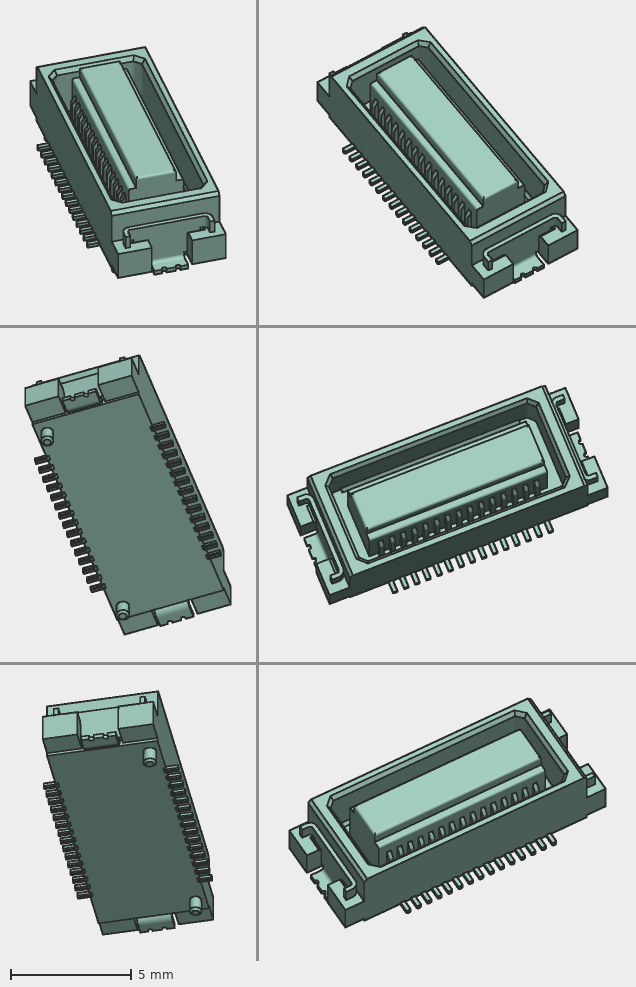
import cadquery as cq
import math


LENGTH = 12.5
BODY_LENGTH = 10.7
BODY_WIDTH = 4.7
BODY_HEIGHT = 2.9
END_CHAMFER = 0.15

EAR_BOTTOM = 0.15
EAR_TOP = 1.4
EAR_INNER_Y = 0.88
EAR_LEAD_IN = 0.12

CAVITY_LENGTH = 9.3
CAVITY_WIDTH = 3.9
CAVITY_FLOOR = 0.7
CAVITY_CORNER = 0.29
CAVITY_ROUND = 0.2
RIM_FLARE = 0.15
RIM_DEPTH = 0.2
LEDGE_SIZE = 0.15

CORE_LENGTH = 8.0
CORE_WIDTH = 2.4
TIP_WIDTH = 1.75
SHOULDER_Z = BODY_HEIGHT
TIP_Z = 3.4
CORE_ROUND = 0.1

CONTACT_COUNT = 15
PITCH = 0.5
CONTACT_WIDTH = 0.2
CONTACT_REACH_Y = 1.39
CONTACT_TOP = 2.3
CONTACT_DROP = 0.29
CONTACT_ROUND = 0.2
LEAD_TIP_Y = 2.85
LEAD_BEND_Y = BODY_WIDTH / 2
LEAD_BOTTOM = -0.11
LEAD_THICKNESS = 0.2
LEAD_BEND = 0.14
LEAD_BEVEL = 0.05

SHEET = 0.2
CLIP_TOP = 2.0
CLIP_WING_BOTTOM = 1.42
CLIP_PLATE_BOTTOM = 0.3
CLIP_PLATE_HALF_WIDTH = 1.46
CLIP_BEND = 0.12
CLIP_HALF_WIDTH = 1.94
WING_TIP_X = 5.98
TAB_TIP_X = 6.15
TAB_HALF_WIDTH = 0.74
TAB_BOTTOM = LEAD_BOTTOM
TAB_BEND = 0.15
TAB_NOTCH_RADIUS = 0.1
TAB_NOTCH_DEPTH = 0.12
TAB_NOTCH_Y = 0.3

PEG_X = 4.75
PEG_Y = -1.9
PEG_DIAMETER = 0.5
PEG_BOTTOM = -0.7
PEG_CHAMFER = 0.1
LONG_PEG_STRETCH = 0.04

HALF_BODY = BODY_LENGTH / 2
CLIP_FACE_X = HALF_BODY + SHEET


def block(x_range, y_range, z_range):
    """Box given by its lower and upper limit on each axis."""
    sizes = [high - low for low, high in (x_range, y_range, z_range)]
    corner = (x_range[0], y_range[0], z_range[0])
    return cq.Workplane("XY").box(*sizes, centered=False).translate(corner)


def both_ends(solid):
    """The solid together with its mirror image at the other X end."""
    return solid.union(solid.mirror("YZ"))


def both_sides(solid):
    """The solid together with its mirror image at the other Y side."""
    return solid.union(solid.mirror("XZ"))


def make_body():
    body = cq.Workplane("XY").box(BODY_LENGTH, BODY_WIDTH, BODY_HEIGHT, centered=(True, True, False))
    return body.faces(">Z").edges("|Y").chamfer(END_CHAMFER)


def make_ears():
    """Four corner blocks, each with a sloped lead-in beside the clip plate."""
    lead_in_length = CLIP_HALF_WIDTH - SHEET - CLIP_BEND - EAR_INNER_Y
    ear = block((HALF_BODY, LENGTH / 2), (EAR_INNER_Y, BODY_WIDTH / 2), (EAR_BOTTOM, EAR_TOP))
    lead_in = (
        cq.Workplane("XZ", origin=(0, EAR_INNER_Y, 0))
        .moveTo(HALF_BODY, EAR_TOP)
        .lineTo(CLIP_FACE_X + EAR_LEAD_IN, EAR_TOP)
        .lineTo(CLIP_FACE_X, EAR_TOP - EAR_LEAD_IN)
        .lineTo(HALF_BODY, EAR_TOP - EAR_LEAD_IN)
        .close()
        .extrude(-lead_in_length)
    )
    return both_ends(both_sides(ear.cut(lead_in)))


def cavity_outline(plane, offset=0.0):
    """Rectangle with 45 degree corners, all eight walls moved outwards by the offset."""
    x = CAVITY_LENGTH / 2 + offset
    y = CAVITY_WIDTH / 2 + offset
    cut = CAVITY_CORNER + offset * (2 - math.sqrt(2))
    points = [
        (x, y - cut),
        (x - cut, y),
        (cut - x, y),
        (-x, y - cut),
        (-x, cut - y),
        (cut - x, -y),
        (x - cut, -y),
        (x, cut - y),
    ]
    return plane.polyline(points).close()


def make_cavity():
    """Well with rounded corners below a flared rim."""
    rim_bottom = BODY_HEIGHT - RIM_DEPTH
    floor = cq.Workplane("XY", origin=(0, 0, CAVITY_FLOOR))
    well = cavity_outline(floor).extrude(rim_bottom - CAVITY_FLOOR).edges("|Z").fillet(CAVITY_ROUND)
    rim = cavity_outline(cq.Workplane("XY", origin=(0, 0, rim_bottom))).workplane(offset=RIM_DEPTH)
    rim = cavity_outline(rim, RIM_FLARE).loft(ruled=True)
    return well.union(rim)


def make_ledges():
    """Sloped strips where the long cavity walls meet the floor."""
    wall_y = CAVITY_WIDTH / 2
    ledge = (
        cq.Workplane("YZ", origin=(-CORE_LENGTH / 2, 0, 0))
        .moveTo(wall_y, CAVITY_FLOOR)
        .lineTo(wall_y - LEDGE_SIZE, CAVITY_FLOOR)
        .lineTo(wall_y, CAVITY_FLOOR + LEDGE_SIZE)
        .close()
        .extrude(CORE_LENGTH)
    )
    return both_sides(ledge)


def make_core():
    """Stepped tongue standing on the cavity floor: a wide base and a narrower tip."""
    x_range = (-CORE_LENGTH / 2, CORE_LENGTH / 2)
    base = block(x_range, (-CORE_WIDTH / 2, CORE_WIDTH / 2), (CAVITY_FLOOR, SHOULDER_Z))
    base = base.faces(">Z").edges("|X").fillet(CORE_ROUND)
    tip = block(x_range, (-TIP_WIDTH / 2, TIP_WIDTH / 2), (CAVITY_FLOOR, TIP_Z))
    tip = tip.faces(">Z").edges().fillet(CORE_ROUND)
    return base.union(tip)


def make_contact():
    """One contact of the +Y row: its mating beam beside the core and its solder lead."""
    half = CONTACT_WIDTH / 2
    beam = (
        cq.Workplane("YZ", origin=(-half, 0, 0))
        .moveTo(TIP_WIDTH / 2, CAVITY_FLOOR)
        .lineTo(CONTACT_REACH_Y, CAVITY_FLOOR)
        .lineTo(CONTACT_REACH_Y, CONTACT_TOP - CONTACT_DROP)
        .lineTo(CORE_WIDTH / 2, CONTACT_TOP)
        .lineTo(TIP_WIDTH / 2, CONTACT_TOP)
        .close()
        .extrude(CONTACT_WIDTH)
        .faces(">Y")
        .edges(">Z")
        .fillet(CONTACT_ROUND)
    )
    lead_top = LEAD_BOTTOM + LEAD_THICKNESS
    lead = (
        cq.Workplane("YZ", origin=(-half, 0, 0))
        .moveTo(LEAD_TIP_Y, LEAD_BOTTOM)
        .lineTo(LEAD_TIP_Y, lead_top)
        .lineTo(LEAD_BEND_Y - LEAD_BEND, lead_top)
        .lineTo(LEAD_BEND_Y - LEAD_BEND, LEAD_BOTTOM + LEAD_BEND)
        .lineTo(LEAD_BEND_Y, LEAD_BOTTOM)
        .close()
        .extrude(CONTACT_WIDTH)
        .faces("<Z")
        .edges("|Y")
        .chamfer(LEAD_BEVEL)
    )
    return beam.union(lead)


def make_contacts():
    contact = make_contact()
    row = cq.Workplane("XY")
    for index in range(CONTACT_COUNT):
        x = (index - (CONTACT_COUNT - 1) / 2) * PITCH
        row = row.add(contact.translate((x, 0, 0)))
    return both_sides(row.combine())


def make_clip_plate():
    """Upright plate of the +X clip, with a bent wing at each side."""
    bend_x = CLIP_FACE_X + CLIP_BEND
    bend_y = CLIP_HALF_WIDTH - SHEET - CLIP_BEND
    height = CLIP_TOP - CLIP_WING_BOTTOM
    outer_radius = CLIP_BEND + SHEET
    half_band = (
        cq.Workplane("XY", origin=(0, 0, CLIP_WING_BOTTOM))
        .moveTo(HALF_BODY, 0)
        .lineTo(HALF_BODY, bend_y)
        .radiusArc((bend_x, CLIP_HALF_WIDTH), outer_radius)
        .lineTo(WING_TIP_X, CLIP_HALF_WIDTH)
        .lineTo(WING_TIP_X, CLIP_HALF_WIDTH - SHEET)
        .lineTo(bend_x, CLIP_HALF_WIDTH - SHEET)
        .radiusArc((CLIP_FACE_X, bend_y), -CLIP_BEND)
        .lineTo(CLIP_FACE_X, 0)
        .close()
        .extrude(height)
    )
    plate = block(
        (HALF_BODY, CLIP_FACE_X),
        (-CLIP_PLATE_HALF_WIDTH, CLIP_PLATE_HALF_WIDTH),
        (CLIP_PLATE_BOTTOM, CLIP_TOP),
    )
    return both_sides(half_band).union(plate)


def make_clip_tab():
    """Solder tab of the +X clip, curving out of the plate's lower edge."""
    bend_x = CLIP_FACE_X + TAB_BEND
    top = TAB_BOTTOM + SHEET
    bend_z = top + TAB_BEND
    tab = (
        cq.Workplane("XZ", origin=(0, TAB_HALF_WIDTH, 0))
        .moveTo(HALF_BODY, CLIP_PLATE_BOTTOM)
        .lineTo(HALF_BODY, bend_z)
        .radiusArc((bend_x, TAB_BOTTOM), -(TAB_BEND + SHEET))
        .lineTo(TAB_TIP_X, TAB_BOTTOM)
        .lineTo(TAB_TIP_X, top)
        .lineTo(bend_x, top)
        .radiusArc((CLIP_FACE_X, bend_z), TAB_BEND)
        .lineTo(CLIP_FACE_X, CLIP_PLATE_BOTTOM)
        .close()
        .extrude(2 * TAB_HALF_WIDTH)
    )
    notches = (
        cq.Workplane("XY", origin=(0, 0, TAB_BOTTOM))
        .pushPoints([(TAB_TIP_X, TAB_NOTCH_Y), (TAB_TIP_X, -TAB_NOTCH_Y)])
        .slot2D(2 * TAB_NOTCH_DEPTH, 2 * TAB_NOTCH_RADIUS)
        .extrude(SHEET)
    )
    return tab.cut(notches)


def make_pegs():
    """Round peg at the +X end and a peg slightly stretched along Y at the -X end."""
    round_peg = cq.Workplane("XY", origin=(PEG_X, PEG_Y, PEG_BOTTOM)).circle(PEG_DIAMETER / 2)
    long_peg = cq.Workplane("XY", origin=(-PEG_X, PEG_Y, PEG_BOTTOM)).slot2D(
        PEG_DIAMETER + LONG_PEG_STRETCH, PEG_DIAMETER, 90
    )
    pegs = round_peg.extrude(-PEG_BOTTOM).union(long_peg.extrude(-PEG_BOTTOM))
    return pegs.faces("<Z").chamfer(PEG_CHAMFER)


result = (
    make_body()
    .union(make_ears())
    .cut(make_cavity())
    .union(make_ledges())
    .union(make_core())
    .union(make_contacts())
    .union(both_ends(make_clip_plate().union(make_clip_tab())))
    .union(make_pegs())
)